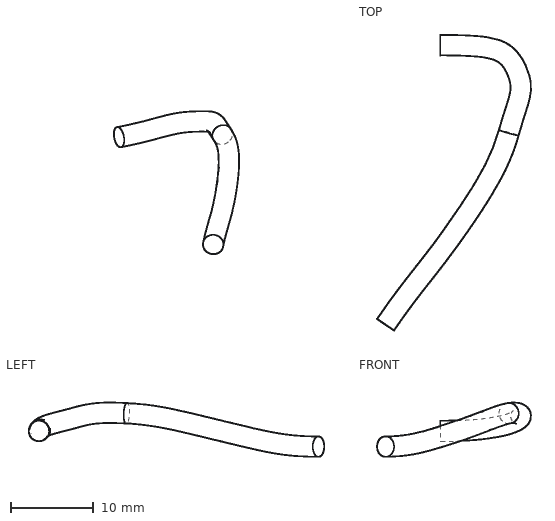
import cadquery as cq

ROD_DIAMETER = 2.5

UPPER_END = (7.65, 34.55, 3.2)
BEND_START = (12.17, 34.4, 3.35)
BEND_MIDDLE = (15.6, 33.35, 3.95)
BEND_FINISH = (17.25, 30.57, 4.7)
JOINT = (15.95, 23.95, 5.35)

LOWER_UPPER_THIRD = (12.4, 16.32, 4.1)
LOWER_LOWER_THIRD = (6.95, 8.55, 2.25)
LOWER_END = (1.05, 0.68, 1.3)

UPPER_END_DIRECTION = (1.0, 0.0, 0.0)
JOINT_DIRECTION = (-0.27, -0.96, -0.05)
LOWER_END_DIRECTION = (-0.56, -0.83, 0.0)


def make_rod(points, start_direction, end_direction):
    """Sweep the round section along a smooth curve through the points."""
    centerline = cq.Workplane("XY").spline(points, tangents=[start_direction, end_direction])
    section_plane = cq.Plane(origin=points[0], normal=start_direction)
    section = cq.Workplane(section_plane).circle(ROD_DIAMETER / 2)
    return section.sweep(centerline)


upper_rod = make_rod(
    [UPPER_END, BEND_START, BEND_MIDDLE, BEND_FINISH, JOINT],
    UPPER_END_DIRECTION,
    JOINT_DIRECTION,
)
lower_rod = make_rod(
    [JOINT, LOWER_UPPER_THIRD, LOWER_LOWER_THIRD, LOWER_END],
    JOINT_DIRECTION,
    LOWER_END_DIRECTION,
)

result = cq.Compound.makeCompound([upper_rod.val(), lower_rod.val()])